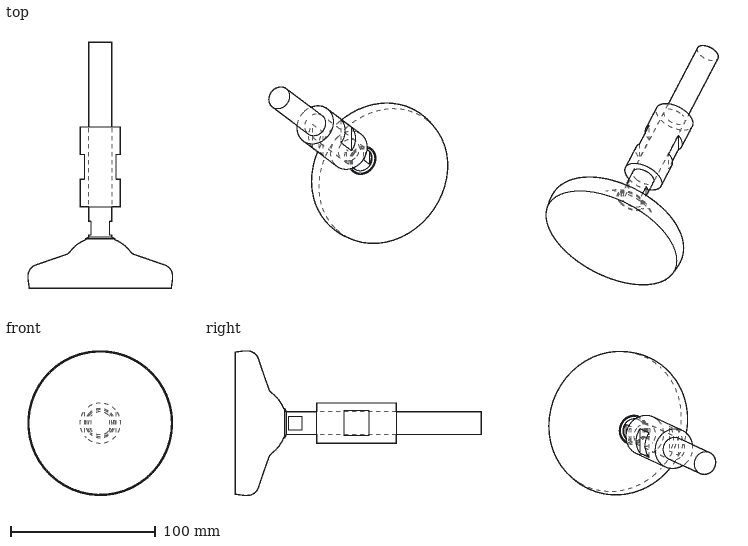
import cadquery as cq
import math

TOTAL_LENGTH = 170.0

RIM_RADIUS = 50.0
BASE_RADIUS = 49.1
SKIRT_HEIGHT = 6.1
SHOULDER_HEIGHT = 14.3
SHOULDER_ROUNDING = 8.0
DOME_RADIUS = 26.4
DOME_CENTER = 9.4
CONE_TOP_RADIUS = 22.0
NECK_ROUNDING = 4.5
FOOT_TOP = 34.0

SPINDLE_RADIUS = 8.0
COLLAR_RADIUS = 10.2
COLLAR_EDGE = 0.3
COLLAR_HEIGHT = 1.4
SPINDLE_FLATS_WIDTH = 13.0
SPINDLE_FLATS_START = 36.9
SPINDLE_FLATS_LENGTH = 9.4

SLEEVE_RADIUS = 14.0
SLEEVE_START = 56.3
SLEEVE_LENGTH = 55.0
SLEEVE_FLATS_WIDTH = 22.0
SLEEVE_FLATS_LENGTH = 17.0


def revolve_about_y(profile):
    """Turn a closed half profile, drawn as (radius, height), about the Y axis."""
    return profile.close().revolve(360, (0, 0), (0, 1))


def cylinder(radius, start, length):
    """Cylinder along +Y from the given height."""
    profile = cq.Workplane("XY").rect(radius, length, centered=False)
    return profile.revolve(360, (0, 0), (0, 1)).translate((0, start, 0))


def cut_wrench_flats(body, radius, width, start, length):
    """Cut two opposite flats, facing -X and +X, across a round body."""
    depth = radius - width / 2
    for side in (-1, 1):
        cutter = cq.Workplane("XY").box(depth, length, 2 * radius)
        center_x = side * (width + depth) / 2
        body = body.cut(cutter.translate((center_x, start + length / 2, 0)))
    return body


def dome_height(radius):
    return DOME_CENTER + math.sqrt(DOME_RADIUS**2 - radius**2)


def edge_at_height(height):
    """Selector for a circular edge centered on the axis at the given height."""
    return cq.selectors.NearestToPointSelector((0, height, 0))


def make_foot():
    top_radius = math.sqrt(DOME_RADIUS**2 - (FOOT_TOP - DOME_CENTER) ** 2)
    middle_radius = (top_radius + CONE_TOP_RADIUS) / 2
    cone_top = dome_height(CONE_TOP_RADIUS)
    profile = (
        cq.Workplane("XY")
        .lineTo(BASE_RADIUS, 0)
        .lineTo(RIM_RADIUS, SKIRT_HEIGHT)
        .lineTo(RIM_RADIUS, SHOULDER_HEIGHT)
        .lineTo(CONE_TOP_RADIUS, cone_top)
        .threePointArc((middle_radius, dome_height(middle_radius)), (top_radius, FOOT_TOP))
        .lineTo(0, FOOT_TOP)
    )
    foot = revolve_about_y(profile)
    foot = foot.edges("%CIRCLE").edges(edge_at_height(SHOULDER_HEIGHT)).fillet(SHOULDER_ROUNDING)
    return foot.edges("%CIRCLE").edges(edge_at_height(cone_top)).fillet(NECK_ROUNDING)


def make_spindle():
    profile = (
        cq.Workplane("XY")
        .moveTo(0, FOOT_TOP)
        .lineTo(COLLAR_RADIUS, FOOT_TOP)
        .lineTo(COLLAR_RADIUS, FOOT_TOP + COLLAR_EDGE)
        .lineTo(SPINDLE_RADIUS, FOOT_TOP + COLLAR_HEIGHT)
        .lineTo(SPINDLE_RADIUS, TOTAL_LENGTH)
        .lineTo(0, TOTAL_LENGTH)
    )
    return cut_wrench_flats(
        revolve_about_y(profile),
        SPINDLE_RADIUS,
        SPINDLE_FLATS_WIDTH,
        SPINDLE_FLATS_START,
        SPINDLE_FLATS_LENGTH,
    )


def make_sleeve():
    """Sleeve bored to fit the spindle, with flats at mid length."""
    sleeve = cylinder(SLEEVE_RADIUS, SLEEVE_START, SLEEVE_LENGTH)
    sleeve = sleeve.cut(cylinder(SPINDLE_RADIUS, SLEEVE_START, SLEEVE_LENGTH))
    flats_start = SLEEVE_START + (SLEEVE_LENGTH - SLEEVE_FLATS_LENGTH) / 2
    return cut_wrench_flats(
        sleeve, SLEEVE_RADIUS, SLEEVE_FLATS_WIDTH, flats_start, SLEEVE_FLATS_LENGTH
    )


foot = make_foot()
spindle = make_spindle()
sleeve = make_sleeve()

result = cq.Compound.makeCompound([foot.val(), spindle.val(), sleeve.val()])